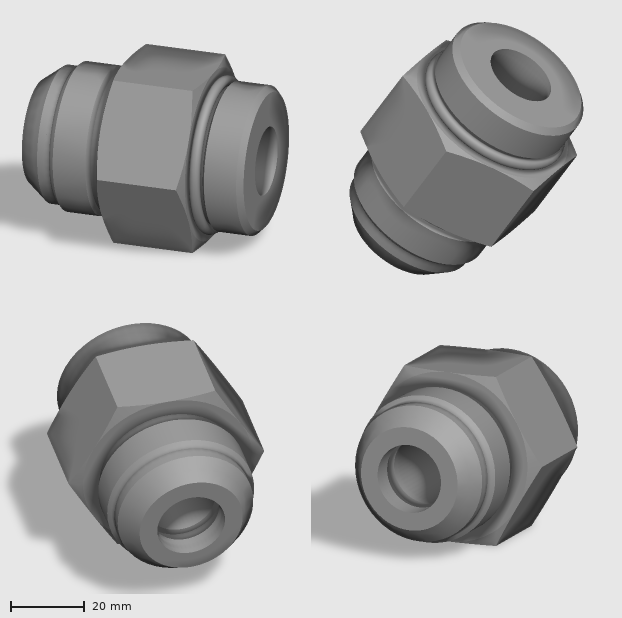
import cadquery as cq
import math

OVERALL_LENGTH = 65.15

BORE_DIAMETER = 19.0

NOSE_TIP_DIAMETER = 29.0
NOSE_DIAMETER = 38.1
NOSE_CONE_LENGTH = 5.9
NOSE_SHOULDER = 8.1
SHANK_DIAMETER = 30.15
SHANK_END = 10.5
COUNTERBORE_DIAMETER = 22.2
COUNTERBORE_START = 6.05

THREAD_DIAMETER = 41.3
NECK_DIAMETER = 38.3
LEAD_DIAMETER = NOSE_DIAMETER
LEAD_CHAMFER = (THREAD_DIAMETER - LEAD_DIAMETER) / 2
RUNOUT_LENGTH = (THREAD_DIAMETER - NECK_DIAMETER) / 2 * math.tan(math.radians(30))
NOSE_THREAD_START = 10.95
NOSE_THREAD_END = 20.3
STUD_THREAD_START = 54.3

HEX_START = 24.6
HEX_END = 49.95
HEX_ACROSS_FLATS = 47.6
HEX_ACROSS_CORNERS = HEX_ACROSS_FLATS / math.cos(math.radians(30))
CORNER_CHAMFER_LENGTH = (HEX_ACROSS_CORNERS - HEX_ACROSS_FLATS) / 2 * math.tan(math.radians(20))

RING_SECTION_DIAMETER = 3.05
RING_CENTRE_DIAMETER = 40.65


def revolve_about_x(profile):
    """Revolve a list of (x, radius) points about the X axis."""
    return cq.Workplane("XY").polyline(profile).close().revolve(360, (0, 0, 0), (1, 0, 0))


def cylinder_along_x(diameter, start, end):
    return cq.Workplane("YZ").workplane(offset=start).circle(diameter / 2).extrude(end - start)


def make_nose():
    """Conical seat with a plug-in shank, bored through and counterbored from the back."""
    return revolve_about_x([
        (0, BORE_DIAMETER / 2),
        (0, NOSE_TIP_DIAMETER / 2),
        (NOSE_CONE_LENGTH, NOSE_DIAMETER / 2),
        (NOSE_SHOULDER, NOSE_DIAMETER / 2),
        (NOSE_SHOULDER, SHANK_DIAMETER / 2),
        (SHANK_END, SHANK_DIAMETER / 2),
        (SHANK_END, COUNTERBORE_DIAMETER / 2),
        (COUNTERBORE_START, COUNTERBORE_DIAMETER / 2),
        (COUNTERBORE_START, BORE_DIAMETER / 2),
    ])


def make_hexagon():
    """Hexagon with flats facing up and down and both ends chamfered at the corners."""
    prism = (
        cq.Workplane("YZ")
        .workplane(offset=HEX_START)
        .polygon(6, HEX_ACROSS_CORNERS)
        .extrude(HEX_END - HEX_START)
    )
    chamfer_envelope = revolve_about_x([
        (HEX_START, 0),
        (HEX_START, HEX_ACROSS_FLATS / 2),
        (HEX_START + CORNER_CHAMFER_LENGTH, HEX_ACROSS_CORNERS / 2),
        (HEX_END - CORNER_CHAMFER_LENGTH, HEX_ACROSS_CORNERS / 2),
        (HEX_END, HEX_ACROSS_FLATS / 2),
        (HEX_END, 0),
    ])
    return prism.intersect(chamfer_envelope)


def make_fitting():
    """Hexagon body with a thread on each side, bored through, with seats for the nose and the O-ring."""
    lead_radius = LEAD_DIAMETER / 2
    neck_radius = NECK_DIAMETER / 2
    thread_radius = THREAD_DIAMETER / 2
    turned_core = revolve_about_x([
        (NOSE_SHOULDER, 0),
        (NOSE_SHOULDER, lead_radius),
        (NOSE_THREAD_START - LEAD_CHAMFER, lead_radius),
        (NOSE_THREAD_START, thread_radius),
        (NOSE_THREAD_END, thread_radius),
        (NOSE_THREAD_END + RUNOUT_LENGTH, neck_radius),
        (STUD_THREAD_START - RUNOUT_LENGTH, neck_radius),
        (STUD_THREAD_START, thread_radius),
        (OVERALL_LENGTH - LEAD_CHAMFER, thread_radius),
        (OVERALL_LENGTH, lead_radius),
        (OVERALL_LENGTH, 0),
    ])
    bore = cylinder_along_x(BORE_DIAMETER, NOSE_SHOULDER, OVERALL_LENGTH)
    shank_seat = cylinder_along_x(SHANK_DIAMETER, NOSE_SHOULDER, SHANK_END)
    return turned_core.union(make_hexagon()).cut(bore).cut(shank_seat).cut(make_o_ring())


def make_o_ring():
    """Round-section ring around the stud neck, against the hexagon."""
    return (
        cq.Workplane("XY")
        .center(HEX_END + RING_SECTION_DIAMETER / 2, RING_CENTRE_DIAMETER / 2)
        .circle(RING_SECTION_DIAMETER / 2)
        .revolve(360, (0, -RING_CENTRE_DIAMETER / 2, 0), (1, -RING_CENTRE_DIAMETER / 2, 0))
    )


nose = make_nose()
fitting = make_fitting()
o_ring = make_o_ring()

result = cq.Compound.makeCompound([nose.val(), fitting.val(), o_ring.val()])